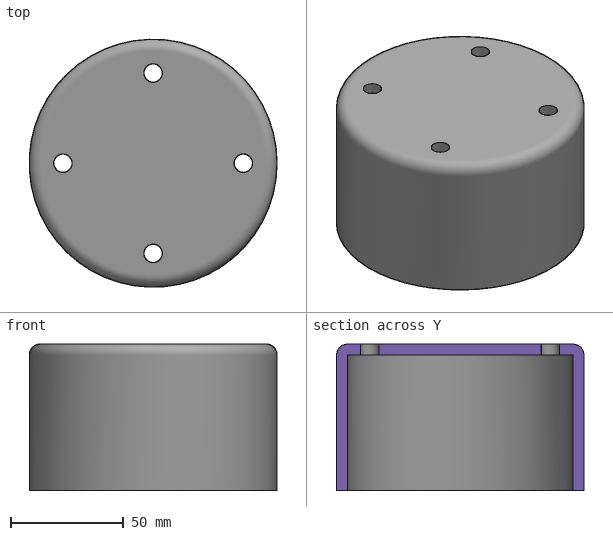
import cadquery as cq

body_diameter = 110.0
body_height = 65.0
inner_diameter = 100.0
hole_diameter = 8.0
hole_circle_diameter = 80.0
hole_count = 4

wall_thickness = (body_diameter - inner_diameter) / 2
rim_radius = wall_thickness
cavity_height = body_height - wall_thickness


def make_body():
    """Upright cylinder standing on Z = 0 with a rounded top rim."""
    cylinder = cq.Workplane("XY").circle(body_diameter / 2).extrude(body_height)
    return cylinder.faces(">Z").edges().fillet(rim_radius)


def make_cavity():
    """Round hollow, open at the bottom and closed by the top plate."""
    return cq.Workplane("XY").circle(inner_diameter / 2).extrude(cavity_height)


def make_holes():
    """Evenly spaced pins that cut the vertical holes through the top plate."""
    return (
        cq.Workplane("XY")
        .polarArray(hole_circle_diameter / 2, 0, 360, hole_count)
        .circle(hole_diameter / 2)
        .extrude(body_height)
    )


result = make_body().cut(make_cavity()).cut(make_holes())